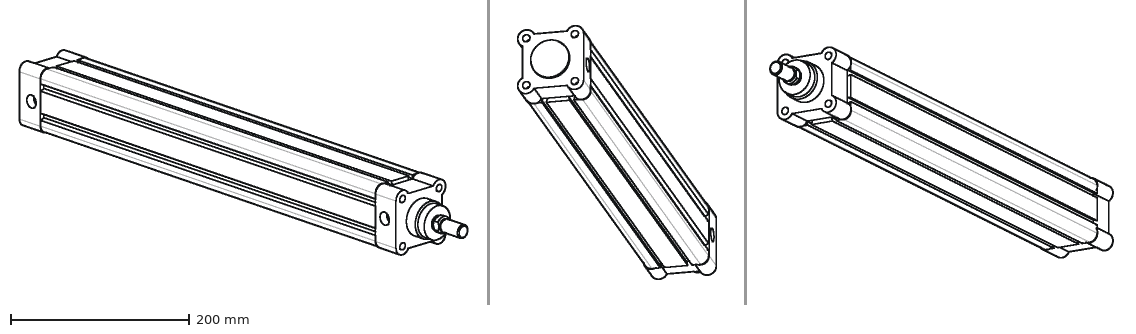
import cadquery as cq

REAR_CAP_BACK = 3.5
REAR_CAP_FRONT = 38.0
FRONT_CAP_BACK = 590.0
FRONT_CAP_FRONT = 624.0
COLLAR_SHOULDER = 638.5
COLLAR_END = 651.0
WRENCH_COLLAR_BACK = 653.0
WRENCH_COLLAR_FRONT = 663.5
ROD_END = 694.0

CAP_WIDTH = 76.0
CAP_HALF = CAP_WIDTH / 2
SCREW_PITCH = 56.0
SCREW_OFFSET = SCREW_PITCH / 2
EAR_RADIUS = CAP_HALF - SCREW_OFFSET
RELIEF_HALF = 32.5
SCREW_HOLE_DIAMETER = 8.0
SCREW_HOLE_DEPTH = 16.0

PORT_DIAMETER = 15.0
PORT_DEPTH = 10.5
PORT_OFFSET_Z = 2.5
REAR_PORT_X = 23.5
FRONT_PORT_X = 605.0

BOSS_DIAMETER = 44.5
COLLAR_TIP_DIAMETER = 40.0
COLLAR_CHAMFER = (BOSS_DIAMETER - COLLAR_TIP_DIAMETER) / 2

TUBE_WIDTH = 75.0
TUBE_HALF = TUBE_WIDTH / 2
TUBE_CORNER_RADIUS = TUBE_HALF - SCREW_OFFSET
DOVETAIL_GROOVE_OFFSET = 16.0
DOVETAIL_GROOVE_MOUTH = 5.0
DOVETAIL_GROOVE_FLOOR = 7.5
DOVETAIL_GROOVE_DEPTH = 5.0
FLARED_GROOVE_OFFSET = 17.5
FLARED_GROOVE_MOUTH = 8.0
FLARED_GROOVE_FLOOR = 4.0
FLARED_GROOVE_DEPTH = 5.0

ROD_NECK_DIAMETER = 17.5
WRENCH_COLLAR_DIAMETER = 20.0
WRENCH_COLLAR_CHAMFER = 2.0
ACROSS_FLATS = 17.5
THREAD_DIAMETER = 16.0
THREAD_CHAMFER = 1.5


def section_plane(x):
    """Plane across the axis at x, with local axes along Y and Z."""
    return cq.Workplane("YZ", origin=(x, 0, 0))


def cylinder(diameter, x_start, x_end):
    return section_plane(x_start).circle(diameter / 2).extrude(x_end - x_start)


def make_cap_block(x_back, x_front, port_x, port_z, screw_face_x, screw_direction):
    """Cap block with corner ears, a port and four blind screw holes."""
    length = x_front - x_back
    ear_centres = [(y, z) for y in (-SCREW_OFFSET, SCREW_OFFSET) for z in (-SCREW_OFFSET, SCREW_OFFSET)]

    core_width = CAP_HALF + RELIEF_HALF
    core_centre_y = (RELIEF_HALF - CAP_HALF) / 2
    block = section_plane(x_back).center(core_centre_y, 0).rect(core_width, 2 * SCREW_OFFSET).extrude(length)
    web = section_plane(x_back).rect(2 * SCREW_OFFSET, 2 * RELIEF_HALF).extrude(length)
    ears = section_plane(x_back).pushPoints(ear_centres).circle(EAR_RADIUS).extrude(length)
    block = block.union(web).union(ears).clean()

    screw_holes = (
        section_plane(screw_face_x)
        .pushPoints(ear_centres)
        .circle(SCREW_HOLE_DIAMETER / 2)
        .extrude(screw_direction * SCREW_HOLE_DEPTH)
    )
    port = (
        cq.Workplane("XZ", origin=(port_x, -CAP_HALF, port_z))
        .circle(PORT_DIAMETER / 2)
        .extrude(-PORT_DEPTH)
    )
    return block.cut(screw_holes).cut(port)


def make_rear_cap():
    block = make_cap_block(REAR_CAP_BACK, REAR_CAP_FRONT, REAR_PORT_X, -PORT_OFFSET_Z, REAR_CAP_BACK, 1)
    return block.union(cylinder(BOSS_DIAMETER, 0, REAR_CAP_BACK))


def make_front_cap():
    block = make_cap_block(
        FRONT_CAP_BACK, FRONT_CAP_FRONT, FRONT_PORT_X, PORT_OFFSET_Z, FRONT_CAP_FRONT, -1
    )
    chamfer_end = COLLAR_SHOULDER + COLLAR_CHAMFER
    collar_base = cylinder(BOSS_DIAMETER, FRONT_CAP_FRONT, chamfer_end)
    collar_base = collar_base.faces(">X").chamfer(COLLAR_CHAMFER)
    collar_tip = cylinder(COLLAR_TIP_DIAMETER, chamfer_end, COLLAR_END)
    return block.union(collar_base).union(collar_tip)


def groove_cutter(centre_y, mouth_width, floor_width, depth):
    """Full-length groove cutter in the +Z face of the tube, open at the top."""
    floor_z = TUBE_HALF - depth
    return (
        section_plane(REAR_CAP_FRONT)
        .moveTo(centre_y - mouth_width / 2, TUBE_HALF)
        .lineTo(centre_y - floor_width / 2, floor_z)
        .lineTo(centre_y + floor_width / 2, floor_z)
        .lineTo(centre_y + mouth_width / 2, TUBE_HALF)
        .close()
        .extrude(FRONT_CAP_BACK - REAR_CAP_FRONT)
    )


def make_tube():
    length = FRONT_CAP_BACK - REAR_CAP_FRONT
    tube = section_plane(REAR_CAP_FRONT).rect(TUBE_WIDTH, TUBE_WIDTH).extrude(length)
    tube = tube.edges("|X").fillet(TUBE_CORNER_RADIUS)

    for side in (-1, 1):
        dovetail = groove_cutter(
            side * DOVETAIL_GROOVE_OFFSET, DOVETAIL_GROOVE_MOUTH, DOVETAIL_GROOVE_FLOOR, DOVETAIL_GROOVE_DEPTH
        )
        flared_groove = groove_cutter(
            side * FLARED_GROOVE_OFFSET, FLARED_GROOVE_MOUTH, FLARED_GROOVE_FLOOR, FLARED_GROOVE_DEPTH
        )
        for face_angle in (0, 180, -90):
            tube = tube.cut(dovetail.rotate((0, 0, 0), (1, 0, 0), face_angle))
        tube = tube.cut(flared_groove.rotate((0, 0, 0), (1, 0, 0), 90))
    return tube


def make_rod():
    neck = cylinder(ROD_NECK_DIAMETER, COLLAR_END, WRENCH_COLLAR_BACK)

    wrench_collar = cylinder(WRENCH_COLLAR_DIAMETER, WRENCH_COLLAR_BACK, WRENCH_COLLAR_FRONT)
    wrench_collar = wrench_collar.faces("<X or >X").chamfer(WRENCH_COLLAR_CHAMFER)
    flats = (
        section_plane(WRENCH_COLLAR_BACK)
        .rect(ACROSS_FLATS, WRENCH_COLLAR_DIAMETER)
        .extrude(WRENCH_COLLAR_FRONT - WRENCH_COLLAR_BACK)
    )
    wrench_collar = wrench_collar.intersect(flats)

    thread = cylinder(THREAD_DIAMETER, WRENCH_COLLAR_FRONT, ROD_END)
    thread = thread.faces("<X or >X").chamfer(THREAD_CHAMFER)
    return neck.union(wrench_collar).union(thread)


rear_cap = make_rear_cap()
tube = make_tube()
front_cap = make_front_cap()
rod = make_rod()

result = cq.Compound.makeCompound([rear_cap.val(), tube.val(), front_cap.val(), rod.val()])